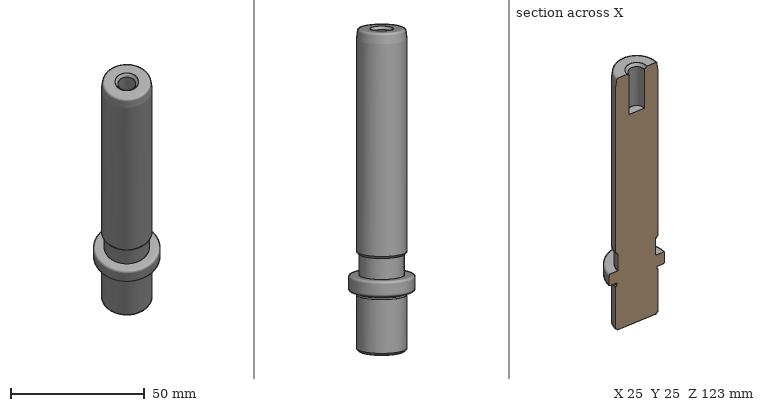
import cadquery as cq

total_length = 123.0
stem_length = 23.0
flange_thickness = 6.0
neck_length = 8.0
relief_length = 1.0
tip_length = 4.0

guide_diameter = 19.0
stem_diameter = 19.0
neck_diameter = 17.0
relief_diameter = 18.0
flange_diameter = 25.0
tip_diameter = 18.0

end_chamfer = 1.0
guide_chamfer = 1.0
relief_chamfer = 0.5
flange_fillet = 1.0
tip_fillet = 1.0

hole_diameter = 6.6
hole_depth = 20.0
hole_chamfer = 1.1

flange_bottom = stem_length
flange_top = flange_bottom + flange_thickness
neck_top = flange_top + neck_length
relief_bottom = flange_bottom - relief_length
taper_start = total_length - tip_length
stem_radius = stem_diameter / 2
guide_radius = guide_diameter / 2
relief_radius = relief_diameter / 2
neck_radius = neck_diameter / 2
flange_radius = flange_diameter / 2
tip_radius = tip_diameter / 2


def revolve_profile(points):
    """Turn a closed (radius, height) outline about the Z axis."""
    return cq.Workplane("XZ").polyline(points).close().revolve(360, (0, 0), (0, 1))


def make_stem():
    """Lower stem with a bottom chamfer and a narrow relief groove under the flange."""
    return revolve_profile([
        (0, 0),
        (stem_radius - end_chamfer, 0),
        (stem_radius, end_chamfer),
        (stem_radius, relief_bottom - relief_chamfer),
        (relief_radius, relief_bottom),
        (relief_radius, flange_bottom),
        (0, flange_bottom),
    ])


def make_flange():
    """Collar with both rims rounded."""
    collar = cq.Workplane("XY").workplane(offset=flange_bottom).circle(flange_radius)
    return collar.extrude(flange_thickness).edges().fillet(flange_fillet)


def make_guide():
    """Neck and long guide, ending in a slightly tapered, rounded tip."""
    guide = revolve_profile([
        (0, flange_top),
        (neck_radius, flange_top),
        (neck_radius, neck_top),
        (guide_radius, neck_top + guide_chamfer),
        (guide_radius, taper_start),
        (tip_radius, total_length),
        (0, total_length),
    ])
    return guide.faces(">Z").edges().fillet(tip_fillet)


def make_hole():
    """Flat-bottomed bore with a chamfered mouth."""
    hole_radius = hole_diameter / 2
    return revolve_profile([
        (0, total_length - hole_depth),
        (hole_radius, total_length - hole_depth),
        (hole_radius, total_length - hole_chamfer),
        (hole_radius + hole_chamfer, total_length),
        (0, total_length),
    ])


result = make_stem().union(make_flange()).union(make_guide()).cut(make_hole())